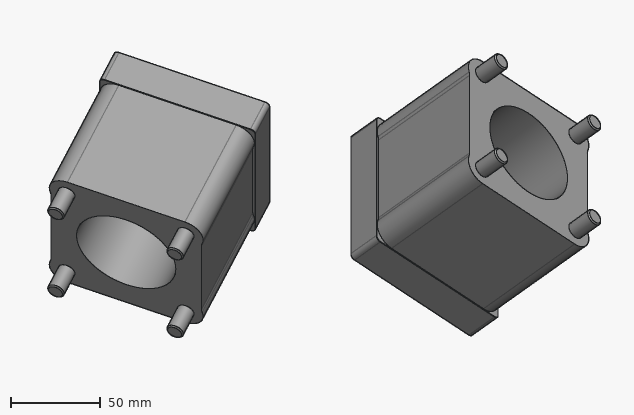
import cadquery as cq
import math

cover_side = 94.0
total_length = 110.0
cover_length = 20.9
pin_length = 16.0
body_length = total_length - cover_length - pin_length

cover_corner_radius = 3.0
cover_edge_chamfer = 0.2

body_side = 93.0
post_radius = 11.0
recess_depth = 1.0
recess_blend_radius = 7.2

bore_diameter = 60.0
pin_diameter = 10.0
pin_spacing = 71.9
pin_chamfer = 0.8

pin_tip_y = -total_length / 2
body_front_y = pin_tip_y + pin_length
cover_front_y = body_front_y + body_length


def section_plane(y):
    """XZ plane at the given Y, extruding towards +Y; local y points to -Z."""
    return cq.Workplane(cq.Plane(origin=(0, y, 0), xDir=(1, 0, 0), normal=(0, 1, 0)))


def make_cover():
    block = section_plane(cover_front_y).rect(cover_side, cover_side).extrude(cover_length)
    block = block.edges("|Y").fillet(cover_corner_radius)
    return block.faces("<Y or >Y").chamfer(cover_edge_chamfer)


def make_body():
    half = body_side / 2
    post_center = half - post_radius
    recess_x = half - recess_depth

    blend_angle = math.acos(1 - recess_depth / (post_radius + recess_blend_radius))
    blend_center_x = recess_x + recess_blend_radius
    flat_end = post_center - (post_radius + recess_blend_radius) * math.sin(blend_angle)

    def post_point(angle):
        return (post_center + post_radius * math.cos(angle),
                post_center + post_radius * math.sin(angle))

    def blend_point(angle):
        return (blend_center_x - recess_blend_radius * math.cos(angle),
                flat_end + recess_blend_radius * math.sin(angle))

    def mirrored(point, x_sign, y_sign):
        return (x_sign * point[0], y_sign * point[1])

    post_end = post_point(-blend_angle)
    post_mid = post_point((math.pi / 2 - blend_angle) / 2)
    post_top = (post_center, half)
    blend_mid = blend_point(blend_angle / 2)
    blend_end = (recess_x, flat_end)

    outline = section_plane(body_front_y).moveTo(*mirrored(blend_end, 1, -1))
    for side in (1, -1):
        outline = (
            outline.lineTo(*mirrored(blend_end, side, side))
            .threePointArc(mirrored(blend_mid, side, side), mirrored(post_end, side, side))
            .threePointArc(mirrored(post_mid, side, side), mirrored(post_top, side, side))
            .lineTo(*mirrored(post_top, -side, side))
            .threePointArc(mirrored(post_mid, -side, side), mirrored(post_end, -side, side))
            .threePointArc(mirrored(blend_mid, -side, side), mirrored(blend_end, -side, side))
        )
    return outline.close().extrude(body_length)


def make_pins():
    pins = (
        section_plane(pin_tip_y)
        .rarray(pin_spacing, pin_spacing, 2, 2)
        .circle(pin_diameter / 2)
        .extrude(pin_length)
    )
    return pins.faces("<Y").chamfer(pin_chamfer)


bore = section_plane(pin_tip_y).circle(bore_diameter / 2).extrude(total_length)

result = make_cover().union(make_body()).union(make_pins()).cut(bore)